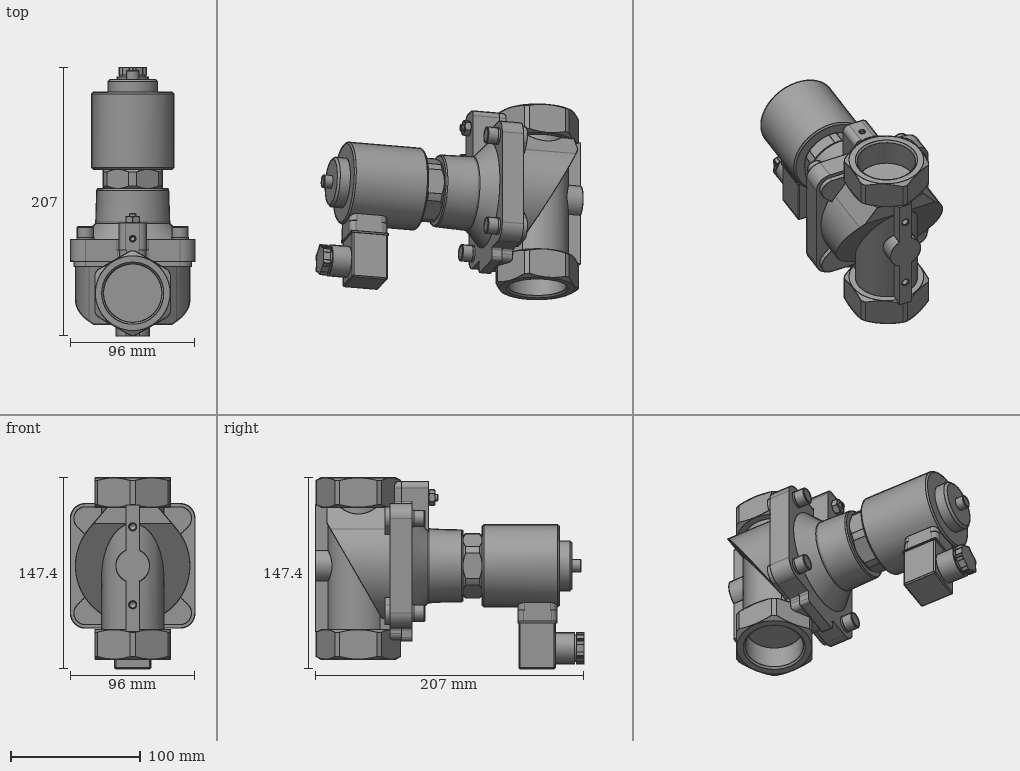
import cadquery as cq
import math


pipe_radius = 24.0
port_hex_flats = 58.2
port_hex_corner_radius = 32.5
port_hex_face_radius = 28.8
port_hex_length = 23.0
inlet_top = 67.9
outlet_bottom = -72.0
inlet_shoulder_z = inlet_top - port_hex_length
outlet_shoulder_z = outlet_bottom + port_hex_length
port_diameter = 45.0
port_mouth_diameter = 47.8
port_depth = 22.0
port_hex_chamfer_slope = math.tan(math.radians(30))

flange_side = 96.0
bolt_spacing = 72.9
flange_front = 24.5
flange_back = 41.5
pad_thickness = 4.0
pad_corner_radius = 9.0
chamber_radius = 44.0
chamber_front = -24.0
tangent_angle = math.radians(40.2)
slope_start_z = 32.7
slope_angle = math.radians(30)
web_half_width = 17.2

rib_width = 10.5
rib_top = 46.8
rib_bottom = -50.7
rib_front = -33.1
front_boss_diameter = 25.9
rib_hole_diameter = 5.0
rib_hole_mouth = 6.2
rib_hole_depth = 8.3
rib_hole_offset = 30.0
drill_tip_angle = math.radians(30)

parting_y = 33.1
upper_boss_half_width = 10.5
upper_boss_top = 65.0
upper_boss_back = 54.2
upper_boss_corner = 5.2
upper_boss_step = 0.5
boss_foot_radius = 1.5
lower_cover_half_width = 18.2
lower_cover_depth = 58.0
lower_cover_corner = 2.7
lower_body_depth = 57.1
lower_body_corner = 5.0
screw_hole_y = 42.0
screw_hole_mouth = 5.0
screw_hole_diameter = 3.5
screw_hole_depth = 4.1
small_nut_flats = 10.5
small_nut_length = 5.0
small_nut_z = 52.5
small_stud_diameter = 5.0
small_stud_length = 2.3

washer_diameter = 13.0
washer_height = 1.5
bolt_head_diameter = 12.6
bolt_head_top = 51.3
small_chamfer = 0.6
flare_top_y = 53.8
bonnet_base_y = 54.9
bonnet_base_radius = 28.5
bonnet_top_y = 80.5
bonnet_top_radius = 27.7
bonnet_chamfer = 1.2
tube_nut_flats = 45.7
tube_nut_corner_radius = 24.8
tube_nut_face_radius = 22.8
nut_chamfer_slope = math.tan(math.radians(45))

coil_radius = 31.7
coil_front = 95.5
coil_back = 154.8
coil_chamfer = 1.2
coil_cap_radius = 19.3
coil_cap_back = 164.8
coil_cap_chamfer = 1.9
coil_stud_diameter = 10.0
coil_stud_back = 171.5

plug_width = 28.2
base_width = plug_width
base_front = 123.0
base_back = 153.2
base_corner_radius = 4.3
base_top_corner_radius = 5.2
base_top_z = -34.0
lip_width = 29.0
lip_thickness = 1.5
lip_inset = 0.5
plug_top = -43.9
plug_bottom = -79.5
plug_front = 123.5
plug_back = 151.7
plug_chamfer = 1.0
gland_z = -63.5
gland_radius = 12.0
gland_back = 166.6
gland_neck_radius = 10.4
gland_nut_front = 168.0
gland_nut_back = 173.9
gland_nut_flats = 21.1
gland_nut_corner_radius = 12.0
grip_width = 6.0
grip_depth = 0.5


def y_plane(y):
    """Workplane at the given Y with local axes X and Z."""
    return cq.Workplane("XZ", origin=(0, y, 0))


def along_y(profile, length):
    """Extrude an XZ profile towards +Y."""
    return profile.extrude(-length)


def box(x_half, y_range, z_range):
    """Box centred on X = 0."""
    y_low, y_high = y_range
    z_low, z_high = z_range
    block = cq.Workplane("XY").box(2 * x_half, y_high - y_low, z_high - z_low, centered=False)
    return block.translate((-x_half, y_low, z_low))


def cylinder_y(radius, y_start, y_end, z=0):
    """Cylinder along Y on X = 0."""
    return along_y(y_plane(y_start).center(0, z).circle(radius), y_end - y_start)


def hexagon(flats):
    """Corner points of a hexagon with one corner on the local +Y axis."""
    corner = flats / math.sqrt(3)
    angles = [math.radians(30 + 60 * i) for i in range(6)]
    return [(corner * math.cos(a), corner * math.sin(a)) for a in angles]


def chamfered_hex(flats, corner_radius, face_radius, length, slope):
    """Hexagonal prism along Z from 0, with turned corners and a turned chamfer at each end."""
    chamfer_height = (corner_radius - face_radius) * slope
    blank = cq.Workplane("XY").polyline(hexagon(flats)).close().extrude(length)
    envelope = (
        cq.Workplane("XZ")
        .polyline(
            [
                (0, 0),
                (face_radius, 0),
                (corner_radius, chamfer_height),
                (corner_radius, length - chamfer_height),
                (face_radius, length),
                (0, length),
            ]
        )
        .close()
        .revolve(360, (0, 0), (0, 1))
    )
    return blank.intersect(envelope)


def hex_along_y(hex_prism, y_start, z=0):
    """Turn a hexagon prism built along Z to run along +Y, with corners towards +Z and -Z."""
    return hex_prism.rotate((0, 0, 0), (1, 0, 0), -90).translate((0, y_start, z))


def make_chamber():
    """Round chamber with tangent flats rising to the inlet, cut off by a sloping front plane."""
    tangent_x = chamber_radius * math.cos(tangent_angle)
    tangent_z = chamber_radius * math.sin(tangent_angle)
    shoulder_x = tangent_x - (inlet_shoulder_z - tangent_z) * math.tan(tangent_angle)
    outline = (
        y_plane(chamber_front)
        .moveTo(-shoulder_x, inlet_shoulder_z)
        .lineTo(-tangent_x, tangent_z)
        .threePointArc((0, -chamber_radius), (tangent_x, tangent_z))
        .lineTo(shoulder_x, inlet_shoulder_z)
        .close()
    )
    chamber = along_y(outline, flange_front - chamber_front)
    fall = slope_start_z + flange_side
    run = fall * math.tan(slope_angle)
    cutter = (
        cq.Workplane("YZ")
        .polyline(
            [
                (chamber_front, slope_start_z),
                (chamber_front + run, slope_start_z - fall),
                (chamber_front, slope_start_z - fall),
            ]
        )
        .close()
        .extrude(flange_side, both=True)
    )
    return chamber.cut(cutter)


def make_flange_pads():
    """Raised pads on the front of the flange, one above and one below the chamber."""
    bolt = bolt_spacing / 2
    edge = bolt + pad_corner_radius
    diagonal = pad_corner_radius / math.sqrt(2)
    arc_middle = math.radians(22.5)
    side_x = bolt + pad_corner_radius * math.cos(arc_middle)
    side_z = bolt + pad_corner_radius * math.sin(arc_middle)
    inner_x = 2 * diagonal
    upper = along_y(
        y_plane(flange_front - pad_thickness)
        .moveTo(-bolt, edge)
        .lineTo(bolt, edge)
        .threePointArc((side_x, side_z), (bolt + diagonal, bolt - diagonal))
        .lineTo(inner_x, 0)
        .lineTo(-inner_x, 0)
        .lineTo(-bolt - diagonal, bolt - diagonal)
        .threePointArc((-side_x, side_z), (-bolt, edge))
        .close(),
        pad_thickness,
    )
    return upper.union(upper.mirror("XY"))


def make_flange():
    """Square flange, its corners concentric with the bolts, with the front pads."""
    corner_radius = (flange_side - bolt_spacing) / 2
    plate = along_y(y_plane(flange_front).rect(flange_side, flange_side), flange_back - flange_front)
    return plate.edges("|Y").fillet(corner_radius).union(make_flange_pads())


def bypass_boss(half_width, height, corner, y_start, y_end):
    """Round-cornered boss standing on the flange edge, with small fillets at its foot."""
    flange_edge = flange_side / 2
    foot = boss_foot_radius
    arc_inset = 1 - math.cos(math.radians(45))
    foot_mid = foot * arc_inset
    corner_mid = corner * arc_inset
    outline = (
        y_plane(y_start)
        .moveTo(-half_width - foot, 0)
        .lineTo(-half_width - foot, flange_edge)
        .threePointArc((-half_width - foot_mid, flange_edge + foot_mid), (-half_width, flange_edge + foot))
        .lineTo(-half_width, height - corner)
        .threePointArc((-half_width + corner_mid, height - corner_mid), (-half_width + corner, height))
        .lineTo(half_width - corner, height)
        .threePointArc((half_width - corner_mid, height - corner_mid), (half_width, height - corner))
        .lineTo(half_width, flange_edge + foot)
        .threePointArc((half_width + foot_mid, flange_edge + foot_mid), (half_width + foot, flange_edge))
        .lineTo(half_width + foot, 0)
        .close()
    )
    return along_y(outline, y_end - y_start)


def make_bypass_bosses():
    """Bosses on the flange edge, each stepped where the cover meets the body, and the lower web."""
    upper_cover = bypass_boss(upper_boss_half_width, upper_boss_top, upper_boss_corner, parting_y, flange_back)
    upper_body = bypass_boss(
        upper_boss_half_width - upper_boss_step, upper_boss_top, upper_boss_corner, flange_front, parting_y
    )
    upper_back = box(upper_boss_half_width, (flange_back, upper_boss_back), (0, upper_boss_top))
    upper_back = upper_back.edges("|Y and >Z").fillet(upper_boss_corner)
    lower_cover = bypass_boss(
        lower_cover_half_width, lower_cover_depth, lower_cover_corner, parting_y, flange_back
    )
    lower_body = bypass_boss(web_half_width, lower_body_depth, lower_body_corner, flange_front, parting_y)
    web = box(web_half_width, (0, flange_front), (outlet_shoulder_z, 0))
    lower = lower_cover.union(lower_body).mirror("XY").union(web)
    return upper_cover.union(upper_body).union(upper_back).union(lower)


def make_small_nut():
    """Nut and stud end on the back of the upper bypass boss."""
    corner_radius = small_nut_flats / math.sqrt(3)
    nut = chamfered_hex(small_nut_flats, corner_radius, small_nut_flats / 2, small_nut_length, nut_chamfer_slope)
    nut_end = upper_boss_back + small_nut_length
    stud = cylinder_y(small_stud_diameter / 2, upper_boss_back, nut_end + small_stud_length, z=small_nut_z)
    stud = stud.faces(">Y").chamfer(small_chamfer)
    return hex_along_y(nut, upper_boss_back, small_nut_z).union(stud)


def make_bonnet():
    """Flared and tapered bonnet with the hexagon of the armature tube behind it."""
    flare_foot = bonnet_base_radius + flare_top_y - flange_back
    bonnet = (
        cq.Workplane("XY")
        .moveTo(0, flange_front)
        .lineTo(flare_foot, flange_front)
        .lineTo(flare_foot, flange_back)
        .lineTo(bonnet_base_radius, flare_top_y)
        .lineTo(bonnet_base_radius, bonnet_base_y)
        .lineTo(bonnet_top_radius, bonnet_top_y - bonnet_chamfer)
        .lineTo(bonnet_top_radius - small_chamfer, bonnet_top_y)
        .lineTo(0, bonnet_top_y)
        .close()
        .revolve(360, (0, 0), (0, 1))
    )
    tube_nut = chamfered_hex(
        tube_nut_flats,
        tube_nut_corner_radius,
        tube_nut_face_radius,
        coil_front - bonnet_top_y,
        nut_chamfer_slope,
    )
    return bonnet.union(hex_along_y(tube_nut, bonnet_top_y))


def make_bolt_head():
    """One bolt head on its washer, centred on X = Z = 0."""
    washer = cylinder_y(washer_diameter / 2, flange_back, flange_back + washer_height)
    head = cylinder_y(bolt_head_diameter / 2, flange_back, bolt_head_top)
    return washer.union(head.faces(">Y").chamfer(small_chamfer))


def make_rib():
    """Front rib with the round boss at its middle."""
    rib = box(rib_width / 2, (rib_front, 0), (rib_bottom, rib_top))
    return rib.union(cylinder_y(front_boss_diameter / 2, rib_front, 0))


def port_hole(z_mouth, direction):
    """Blind port with a chamfered mouth, going from z_mouth in the given Z direction."""
    mouth_depth = (port_mouth_diameter - port_diameter) / 2
    plane = cq.Workplane("XY", origin=(0, 0, z_mouth))
    bore = plane.circle(port_diameter / 2).extrude(direction * port_depth)
    cone = cq.Solid.makeCone(
        port_mouth_diameter / 2,
        port_diameter / 2,
        mouth_depth,
        pnt=cq.Vector(0, 0, z_mouth),
        dir=cq.Vector(0, 0, direction),
    )
    return bore.union(cq.Workplane(obj=cone))


def drilled_hole(diameter, mouth_diameter, depth):
    """Drilled hole along Z, its mouth at Z = 0, with a countersunk mouth and a pointed bottom."""
    radius = diameter / 2
    mouth_radius = mouth_diameter / 2
    return (
        cq.Workplane("XZ")
        .polyline(
            [
                (0, 0),
                (mouth_radius, 0),
                (radius, radius - mouth_radius),
                (radius, -depth),
                (0, -depth - radius * math.tan(drill_tip_angle)),
            ]
        )
        .close()
        .revolve(360, (0, 0), (0, 1))
    )


def make_valve():
    """Valve body with its cover, bonnet and fasteners as one solid."""
    port_hex = chamfered_hex(
        port_hex_flats, port_hex_corner_radius, port_hex_face_radius, port_hex_length, port_hex_chamfer_slope
    )
    pipe = cq.Workplane("XY", origin=(0, 0, outlet_shoulder_z)).circle(pipe_radius)
    valve = pipe.extrude(inlet_shoulder_z - outlet_shoulder_z)
    parts = [
        port_hex.translate((0, 0, inlet_shoulder_z)),
        port_hex.translate((0, 0, outlet_bottom)),
        make_chamber(),
        make_flange(),
        make_bonnet(),
        make_bypass_bosses(),
        make_small_nut(),
        make_rib(),
    ]
    bolt_head = make_bolt_head()
    for x in (-bolt_spacing / 2, bolt_spacing / 2):
        for z in (-bolt_spacing / 2, bolt_spacing / 2):
            parts.append(bolt_head.translate((x, 0, z)))
    for part in parts:
        valve = valve.union(part)

    valve = valve.cut(port_hole(inlet_top, -1)).cut(port_hole(outlet_bottom, 1))
    rib_hole = drilled_hole(rib_hole_diameter, rib_hole_mouth, rib_hole_depth)
    rib_hole = rib_hole.rotate((0, 0, 0), (1, 0, 0), 90)
    for z in (-rib_hole_offset, rib_hole_offset):
        valve = valve.cut(rib_hole.translate((0, rib_front, z)))
    screw_hole = drilled_hole(screw_hole_diameter, screw_hole_mouth, screw_hole_depth)
    return valve.cut(screw_hole.translate((0, screw_hole_y, upper_boss_top)))


def make_coil():
    """Coil housing with its end cap, stud and terminal base."""
    coil = cylinder_y(coil_radius, coil_front, coil_back).faces("<Y or >Y").chamfer(coil_chamfer)
    cap = cylinder_y(coil_cap_radius, coil_back, coil_cap_back).faces(">Y").chamfer(coil_cap_chamfer)
    stud = cylinder_y(coil_stud_diameter / 2, coil_back, coil_stud_back).faces(">Y").chamfer(small_chamfer)
    base = box(base_width / 2, (base_front, base_back), (plug_top, base_top_z))
    base = base.edges("|Z").fillet(base_corner_radius)
    base_top = box(base_width / 2, (base_front, base_back), (base_top_z, 0))
    base_top = base_top.edges("|Z").fillet(base_top_corner_radius)
    lip_top = plug_top + lip_thickness
    lip = box(lip_width / 2, (base_front, base_back - lip_inset), (plug_top, lip_top))
    lip = lip.edges("|Z").fillet(small_chamfer)
    return coil.union(cap).union(stud).union(base).union(base_top).union(lip)


def make_gland_nut():
    """Hexagon nut of the cable gland with a shallow grip recess along each flat."""
    length = gland_nut_back - gland_nut_front
    blank = along_y(y_plane(gland_nut_front).polyline(hexagon(gland_nut_flats)).close(), length)
    nut = blank.intersect(cylinder_y(gland_nut_corner_radius, gland_nut_front, gland_nut_back))
    recess = along_y(
        y_plane(gland_nut_front).center(gland_nut_flats / 2, 0).rect(2 * grip_depth, grip_width), length
    )
    for i in range(6):
        nut = nut.cut(recess.rotate((0, 0, 0), (0, 1, 0), 60 * i))
    return nut


def make_plug():
    """Cable plug: a box with a cable gland pointing along +Y."""
    plug = box(plug_width / 2, (plug_front, plug_back), (plug_bottom, plug_top))
    plug = plug.edges("|Z or <Z").chamfer(plug_chamfer)
    gland = cylinder_y(gland_radius, plug_front + plug_chamfer, gland_back, z=gland_z)
    neck = cylinder_y(gland_neck_radius, gland_back, gland_nut_front, z=gland_z)
    nut = make_gland_nut().translate((0, 0, gland_z))
    return plug.union(gland).union(neck).union(nut)


valve = make_valve()
coil = make_coil()
plug = make_plug()

result = cq.Compound.makeCompound([valve.val(), coil.val(), plug.val()])